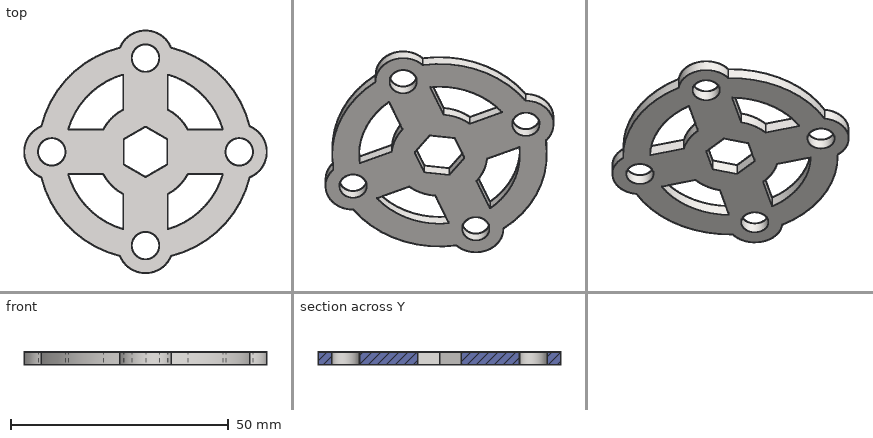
import cadquery as cq
import math

outer_size = 55.75
thickness = 3.0

ring_outer_radius = 24.65
ring_inner_radius = 18.45
hub_radius = 11.0
spoke_width = 10.25

lobe_radius = 6.35
bolt_hole_diameter = 6.25
bolt_circle_radius = outer_size / 2 - lobe_radius

hex_across_flats = 10.0
hex_across_corners = hex_across_flats / math.cos(math.pi / 6)


def disc(radius):
    return cq.Workplane("XY").circle(radius).extrude(thickness)


def at_bolt_positions():
    """Workplane with one point at each of the four bolt positions."""
    return cq.Workplane("XY").polarArray(bolt_circle_radius, 0, 360, 4)


rim = disc(ring_outer_radius).cut(disc(ring_inner_radius))
lobes = at_bolt_positions().circle(lobe_radius).extrude(thickness)

spoke_length = 2 * bolt_circle_radius
spoke_x = cq.Workplane("XY").rect(spoke_length, spoke_width).extrude(thickness)
spoke_y = cq.Workplane("XY").rect(spoke_width, spoke_length).extrude(thickness)

body = rim.union(lobes).union(disc(hub_radius)).union(spoke_x).union(spoke_y)

bolt_holes = at_bolt_positions().circle(bolt_hole_diameter / 2).extrude(thickness)
hex_bore = (
    cq.Workplane("XY")
    .transformed(rotate=(0, 0, 90))
    .polygon(6, hex_across_corners)
    .extrude(thickness)
)

result = body.cut(bolt_holes).cut(hex_bore).clean()